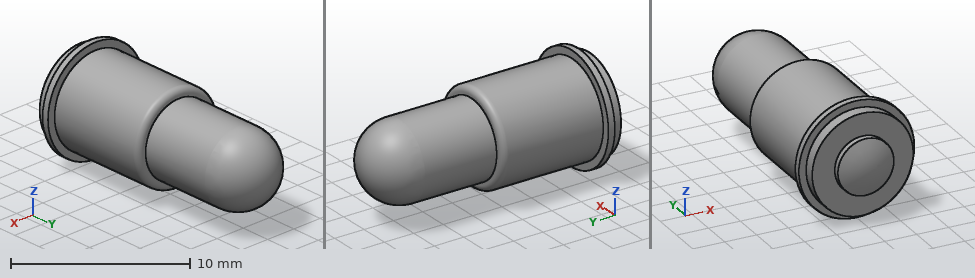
import cadquery as cq
import math

length = 16.23

bulb_radius = 2.53

sleeve_radius = 3.12
sleeve_length = 6.85
shoulder_fillet = 0.39
flange_radius = 3.62
flange_thickness = 0.44
rear_rim_radius = 3.16
rear_rim_length = 0.75
contact_radius = 1.75
contact_height = 0.8
contact_dome_height = 0.4

notch_depth = 0.31
notch_apex_y = -2.84
notch_front_y = -3.4
notch_rear_y = -4.09

contact_tip_y = -length / 2
contact_edge_y = contact_tip_y + contact_dome_height
rear_face_y = contact_tip_y + contact_height
flange_rear_y = rear_face_y + rear_rim_length
flange_front_y = flange_rear_y + flange_thickness
shoulder_y = flange_front_y + sleeve_length
bulb_tip_y = length / 2
dome_start_y = bulb_tip_y - bulb_radius


def disc(radius, start_y, end_y):
    """Cylinder on the Y axis between two stations."""
    return cq.Workplane("XZ", origin=(0, end_y, 0)).circle(radius).extrude(end_y - start_y)


def make_contact():
    """Low cylindrical contact button with a domed end."""
    dome_sphere_radius = (contact_radius**2 + contact_dome_height**2) / (2 * contact_dome_height)
    middle_x = contact_radius / 2
    middle_y = contact_tip_y + dome_sphere_radius - math.sqrt(dome_sphere_radius**2 - middle_x**2)
    half_profile = (
        cq.Workplane("XY")
        .moveTo(0, rear_face_y)
        .lineTo(0, contact_tip_y)
        .threePointArc((middle_x, middle_y), (contact_radius, contact_edge_y))
        .lineTo(contact_radius, rear_face_y)
    )
    return half_profile.close().revolve(360, (0, 0, 0), (0, 1, 0))


def make_notch_cutter():
    """Triangular prism along X whose base lies on the lowest line of the sleeve."""
    return (
        cq.Workplane("YZ")
        .moveTo(notch_front_y, -sleeve_radius)
        .lineTo(notch_apex_y, notch_depth - sleeve_radius)
        .lineTo(notch_rear_y, -sleeve_radius)
        .close()
        .extrude(sleeve_radius, both=True)
    )


def make_base():
    """Sleeve with a rounded shoulder, underside notch, locating flange, rear rim and contact."""
    sleeve = disc(sleeve_radius, flange_front_y, shoulder_y).faces(">Y").edges().fillet(shoulder_fillet)
    sleeve = sleeve.cut(make_notch_cutter())
    flange = disc(flange_radius, flange_rear_y, flange_front_y)
    rear_rim = disc(rear_rim_radius, rear_face_y, flange_rear_y)
    return sleeve.union(flange).union(rear_rim).union(make_contact())


def make_bulb():
    """Glass bulb standing on the flat of the base shoulder."""
    barrel = disc(bulb_radius, shoulder_y, dome_start_y)
    dome = cq.Workplane("XY", origin=(0, dome_start_y, 0)).sphere(bulb_radius)
    upper_half = disc(bulb_radius, dome_start_y, bulb_tip_y)
    return barrel.union(dome.intersect(upper_half))


base = make_base()
bulb = make_bulb()

result = cq.Compound.makeCompound([base.val(), bulb.val()])